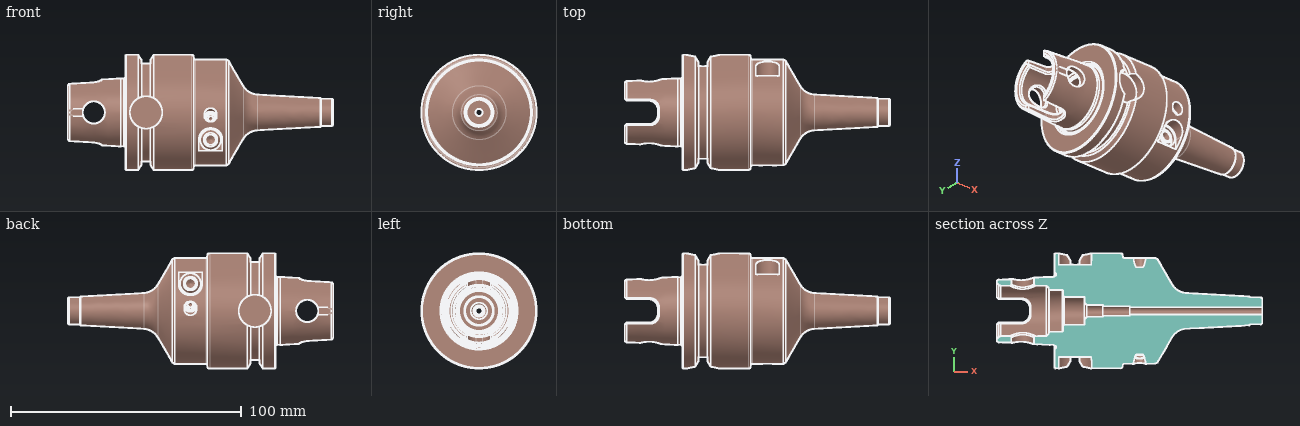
import cadquery as cq
import math

overall_length = 115.0

shank_end_radius = 13.1
shank_rim_radius = 13.7
shank_rim_x = 0.8
shank_big_radius = 14.8
shank_big_x = 23.0
neck_radius = 14.7
neck_end_x = 24.3

flange_face_x = 25.0
flange_radius = 50.0 / 2
flange_chamfer = 0.3
relief_depth = 0.7
relief_inner_radius = 15.4
relief_floor_radius = 16.1

groove_floor_radius = 21.3
groove_chamfer_radius = 22.8
groove_start_x = 30.5
groove_left_wall_x = 32.0
groove_right_wall_x = 35.8
groove_end_x = 37.1

body_end_x = 54.6
body_fillet = 1.0
front_radius = 23.0
front_fillet = 0.7
front_end_x = 69.7
front_chamfer_length = 1.0
front_chamfer_height = 0.6

cone_angle = 60.0
blend_end_x = 82.1
nose_big_radius = 7.8
nose_small_radius = 6.3
nose_taper_end_x = 109.4
tip_start_x = 109.8
tip_radius = 6.0
tip_chamfer = 0.6

mouth_radius = 12.1
mouth_inner_radius = 11.2
mouth_depth = 1.8
bore_radius = 10.8
bore_end_x = 21.5
bore_floor_x = 22.4
bore_floor_radius = 10.0
pilot_radius = 18.0 / 2
pilot_chamfer = 0.3
pilot_floor_x = 28.8
pilot_floor_radius = 17.2 / 2
well_radius = 12.0 / 2
well_chamfer = 0.5
well_floor_x = 38.0
coolant_cone_radius = 3.6
coolant_entry_radius = 5.0 / 2
coolant_step_radius = 4.0 / 2
coolant_entry_end_x = 46.0
coolant_step_end_x = 57.5
coolant_radius = 1.5

slot_half_width = 10.0 / 2
slot_end_x = 14.3
slot_corner_radius = 3.7
slot_outer_bevel = 0.7
slot_inner_bevel = 0.6
slot_mouth_chamfer = 0.9

cross_hole_diameter = 9.5
cross_hole_x = 11.3
cross_hole_bevel = 0.6
flat_width = 3.1

recess_diameter = 14.0
recess_x = 33.9
recess_floor_y = 20.0

pocket_x = 61.9
pocket_z = -11.8
pocket_diameter = 10.2
pocket_floor_y = 15.9
screw_diameter = 9.0
screw_tip_diameter = 6.0
screw_socket_diameter = 4.5
screw_base_depth = 2.1
screw_tip_depth = 0.5
socket_depth = 1.4
slant_hole_diameter = 5.5
slant_inner_diameter = 4.0
slant_hole_z = -1.0
slant_angle = 20.0
slant_hole_depth = 3.5
slant_inner_depth = 4.8
slant_core_diameter = 2.3


def revolve_about_x(profile):
    return profile.close().revolve(360, (0, 0, 0), (1, 0, 0))


def cylinder(diameter, length, start, direction):
    solid = cq.Solid.makeCylinder(diameter / 2, length, cq.Vector(*start), cq.Vector(*direction))
    return cq.Workplane(obj=solid)


def cone(start_diameter, end_diameter, length, start, direction):
    solid = cq.Solid.makeCone(
        start_diameter / 2, end_diameter / 2, length, cq.Vector(*start), cq.Vector(*direction)
    )
    return cq.Workplane(obj=solid)


def with_opposite(tool):
    """The tool together with its half-turn copy about the X axis."""
    return tool.union(tool.rotate((0, 0, 0), (1, 0, 0), 180))


def make_outer_body():
    steepness = math.radians(cone_angle)
    nose_slope = (nose_big_radius - nose_small_radius) / (nose_taper_end_x - blend_end_x)
    nose_angle = math.atan(nose_slope)
    cone_top_radius = front_radius - front_chamfer_height
    drop = cone_top_radius - nose_big_radius - nose_slope * (blend_end_x - front_end_x)
    corner_x = front_end_x + drop / (math.tan(steepness) - nose_slope)
    tangent_length = (blend_end_x - corner_x) / math.cos(nose_angle)
    blend_start_x = corner_x - tangent_length * math.cos(steepness)
    blend_start_radius = cone_top_radius - (blend_start_x - front_end_x) * math.tan(steepness)

    shank_slope = (shank_big_radius - shank_rim_radius) / (shank_big_x - shank_rim_x)

    profile = (
        cq.Workplane("XY")
        .moveTo(0, 0)
        .lineTo(0, shank_rim_radius - shank_slope * shank_rim_x)
        .lineTo(shank_big_x, shank_big_radius)
        .lineTo(shank_big_x, neck_radius)
        .lineTo(neck_end_x, neck_radius)
        .lineTo(flange_face_x + relief_depth, relief_inner_radius)
        .lineTo(flange_face_x + relief_depth, relief_floor_radius)
        .lineTo(flange_face_x, relief_floor_radius + relief_depth)
        .lineTo(flange_face_x, flange_radius - flange_chamfer)
        .lineTo(flange_face_x + flange_chamfer, flange_radius)
        .lineTo(groove_start_x, flange_radius)
        .lineTo(groove_left_wall_x, groove_chamfer_radius)
        .lineTo(groove_left_wall_x, groove_floor_radius)
        .lineTo(groove_right_wall_x, groove_floor_radius)
        .lineTo(groove_right_wall_x, groove_chamfer_radius)
        .lineTo(groove_end_x, flange_radius)
        .lineTo(body_end_x - body_fillet, flange_radius)
        .radiusArc((body_end_x, flange_radius - body_fillet), body_fillet)
        .lineTo(body_end_x, front_radius + front_fillet)
        .radiusArc((body_end_x + front_fillet, front_radius), -front_fillet)
        .lineTo(front_end_x - front_chamfer_length, front_radius)
        .lineTo(front_end_x, cone_top_radius)
        .lineTo(blend_start_x, blend_start_radius)
        .tangentArcPoint((blend_end_x, nose_big_radius), relative=False)
        .lineTo(nose_taper_end_x, nose_small_radius)
        .lineTo(tip_start_x, tip_radius)
        .lineTo(overall_length - tip_chamfer, tip_radius)
        .lineTo(overall_length, tip_radius - tip_chamfer)
        .lineTo(overall_length, 0)
    )
    return revolve_about_x(profile)


def make_bore():
    profile = (
        cq.Workplane("XY")
        .moveTo(0, 0)
        .lineTo(0, bore_radius)
        .lineTo(bore_end_x, bore_radius)
        .lineTo(bore_floor_x, bore_floor_radius)
        .lineTo(bore_floor_x, pilot_radius + pilot_chamfer)
        .lineTo(bore_floor_x + pilot_chamfer, pilot_radius)
        .lineTo(pilot_floor_x - pilot_chamfer, pilot_radius)
        .lineTo(pilot_floor_x, pilot_floor_radius)
        .lineTo(pilot_floor_x, well_radius + well_chamfer)
        .lineTo(pilot_floor_x + well_chamfer, well_radius)
        .lineTo(well_floor_x, well_radius)
        .lineTo(well_floor_x, coolant_cone_radius)
        .lineTo(well_floor_x + coolant_cone_radius - coolant_entry_radius, coolant_entry_radius)
        .lineTo(coolant_entry_end_x, coolant_entry_radius)
        .lineTo(coolant_entry_end_x, coolant_step_radius)
        .lineTo(coolant_step_end_x, coolant_step_radius)
        .lineTo(coolant_step_end_x, coolant_radius)
        .lineTo(overall_length, coolant_radius)
        .lineTo(overall_length, 0)
    )
    return revolve_about_x(profile)


def make_drive_slot():
    """Slot through both shank walls, open at the shank end."""
    height = 2 * flange_radius
    flat_half = slot_half_width - slot_corner_radius
    corner_x = slot_end_x - slot_corner_radius
    return (
        cq.Workplane("XY", origin=(0, 0, -height / 2))
        .moveTo(0, -slot_half_width)
        .lineTo(corner_x, -slot_half_width)
        .radiusArc((slot_end_x, -flat_half), -slot_corner_radius)
        .lineTo(slot_end_x, flat_half)
        .radiusArc((corner_x, slot_half_width), -slot_corner_radius)
        .lineTo(0, slot_half_width)
        .close()
        .extrude(height)
    )


def make_slot_mouth():
    """Wedge that flares both slots at the shank end."""
    height = 2 * flange_radius
    half_mouth = slot_half_width + slot_mouth_chamfer
    return (
        cq.Workplane("XY", origin=(0, 0, -height / 2))
        .moveTo(0, -half_mouth)
        .lineTo(half_mouth, 0)
        .lineTo(0, half_mouth)
        .close()
        .extrude(height)
    )


def make_rim_chamfer():
    """Ring that bevels the outer rim of the shank end."""
    profile = (
        cq.Workplane("XY")
        .moveTo(0, shank_end_radius)
        .lineTo(shank_rim_x, shank_rim_radius)
        .lineTo(shank_rim_x, flange_radius)
        .lineTo(0, flange_radius)
    )
    return revolve_about_x(profile)


def bevel_slot_edges(body):
    """Bevel the rims of both drive slots on the outside and in the bore."""
    margin = 0.1
    y_limit = slot_half_width + margin
    wall_corners = cq.selectors.ParallelDirSelector(cq.Vector(0, 0, 1))
    inner_z = math.sqrt(bore_radius**2 - y_limit**2)
    rims = (
        (slot_outer_bevel, mouth_radius, shank_big_radius),
        (slot_inner_bevel, inner_z, bore_radius + margin),
    )
    for bevel, low_z, high_z in rims:
        for side in (1, -1):
            rim_box = cq.selectors.BoxSelector(
                (0, -y_limit, side * low_z), (slot_end_x + margin, y_limit, side * high_z)
            )
            body = body.edges(rim_box - wall_corners).chamfer(bevel)
    return body


def make_bore_mouth():
    """Countersink at the open end of the bore."""
    profile = (
        cq.Workplane("XY")
        .moveTo(0, 0)
        .lineTo(0, mouth_radius)
        .lineTo(mouth_radius - mouth_inner_radius, mouth_inner_radius)
        .lineTo(mouth_depth, bore_radius)
        .lineTo(mouth_depth, 0)
    )
    return revolve_about_x(profile)


def make_cross_hole():
    start = (cross_hole_x, -flange_radius, 0)
    return cylinder(cross_hole_diameter, 2 * flange_radius, start, (0, 1, 0))


def bevel_cross_hole(body):
    """Bevel the two rims where the cross hole breaks into the bore."""
    margin = 0.1
    reach = cross_hole_diameter / 2 + margin
    rim_box = cq.selectors.BoxSelector(
        (cross_hole_x - reach, -bore_radius - margin, -reach),
        (cross_hole_x + reach, bore_radius + margin, reach),
    )
    return body.edges(rim_box).chamfer(cross_hole_bevel)


def make_rim_flats():
    flat = cq.Workplane("XY").box(
        cross_hole_x, flange_radius, flat_width, centered=(False, False, True)
    )
    return with_opposite(flat.translate((0, shank_rim_radius, 0)))


def make_drive_recess():
    start = (recess_x, -recess_floor_y, 0)
    return with_opposite(cylinder(recess_diameter, flange_radius, start, (0, -1, 0)))


def make_screw_pocket():
    """U-shaped pocket running out of the cylinder, with a cone-tipped screw in its floor."""
    outward = (0, -1, 0)
    inward = (0, 1, 0)
    floor = (pocket_x, -pocket_floor_y, pocket_z)
    pocket = cylinder(pocket_diameter, front_radius, floor, outward)
    run_out = cq.Workplane("XY").box(
        pocket_diameter, front_radius, front_radius, centered=(True, False, False)
    ).translate((pocket_x, -pocket_floor_y - front_radius, pocket_z - front_radius))
    screw_well = cylinder(screw_diameter, screw_base_depth, floor, inward)
    screw_tip = cone(
        screw_diameter, screw_tip_diameter, screw_base_depth - screw_tip_depth,
        (pocket_x, -pocket_floor_y + screw_base_depth, pocket_z), outward,
    )
    socket = cone(
        screw_socket_diameter, 0, socket_depth,
        (pocket_x, -pocket_floor_y + screw_tip_depth, pocket_z), inward,
    )
    return with_opposite(pocket.union(run_out).union(screw_well.cut(screw_tip)).union(socket))


def make_slanted_hole():
    """Stepped hole slanting down from the cylinder wall, ending in a drill point."""
    slant = math.radians(slant_angle)
    inward = cq.Vector(0, math.cos(slant), -math.sin(slant))
    mouth = cq.Vector(pocket_x, -front_radius, slant_hole_z)
    clearance = slant_hole_diameter / 2
    outer = cylinder(
        slant_hole_diameter, slant_hole_depth + clearance,
        (mouth - inward * clearance).toTuple(), inward.toTuple(),
    )
    inner = cylinder(slant_inner_diameter, slant_inner_depth, mouth.toTuple(), inward.toTuple())
    point = cone(
        slant_core_diameter, 0, slant_core_diameter / 2,
        (mouth + inward * slant_inner_depth).toTuple(), inward.toTuple(),
    )
    return with_opposite(outer.union(inner).union(point))


body = make_outer_body().cut(make_bore()).cut(make_drive_slot())
body = bevel_slot_edges(body)
body = bevel_cross_hole(body.cut(make_cross_hole()))
result = (
    body
    .cut(make_bore_mouth())
    .cut(make_slot_mouth())
    .cut(make_rim_chamfer())
    .cut(make_rim_flats())
    .cut(make_drive_recess())
    .cut(make_screw_pocket())
    .cut(make_slanted_hole())
)